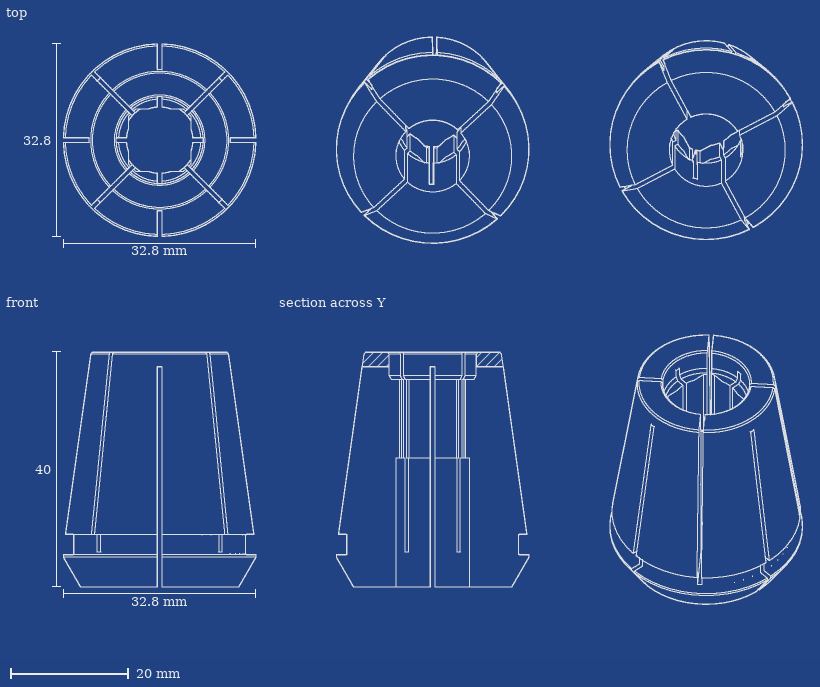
import cadquery as cq
import math

height = 40.0
flange_radius = 16.4
flange_top = 5.55
flange_rim_height = 0.45
nose_angle = 30.0
neck_radius = 14.65
neck_fillet = 0.15
taper_bottom = 9.0
taper_radius = 16.05
taper_angle = 8.0
rim_chamfer = 0.3

counterbore_radius = 7.4
counterbore_depth = 4.0
counterbore_floor_radius = 7.0
floor_bevel_height = 0.7

socket_width = 10.6
socket_corner_radius = 6.65
socket_relief_radius = 5.63
shank_radius = 6.25
shank_depth = 22.0

slit_width = 0.75
slit_count = 4
lower_slit_top = 37.5
upper_slit_bottom = 5.95


def cone_radius_change(length, angle):
    """Radius change of a cone along an axial length."""
    return length * math.tan(math.radians(angle))


def make_body():
    """Revolved outside of the collet, without any bores."""
    rim_bottom = flange_top - flange_rim_height
    nose_radius = flange_radius - cone_radius_change(rim_bottom, nose_angle)
    chamfer_start = height - rim_chamfer
    taper_top_radius = taper_radius - cone_radius_change(chamfer_start - taper_bottom, taper_angle)
    fillet_edge = neck_radius + neck_fillet
    arc_inset = neck_fillet * (1 - math.cos(math.radians(45)))
    profile = (
        cq.Workplane("XZ")
        .lineTo(nose_radius, 0)
        .lineTo(flange_radius, rim_bottom)
        .lineTo(flange_radius, flange_top)
        .lineTo(fillet_edge, flange_top)
        .threePointArc(
            (neck_radius + arc_inset, flange_top + arc_inset),
            (neck_radius, flange_top + neck_fillet),
        )
        .lineTo(neck_radius, taper_bottom - neck_fillet)
        .threePointArc(
            (neck_radius + arc_inset, taper_bottom - arc_inset),
            (fillet_edge, taper_bottom),
        )
        .lineTo(taper_radius, taper_bottom)
        .lineTo(taper_top_radius, chamfer_start)
        .lineTo(taper_top_radius - rim_chamfer, height)
        .lineTo(0, height)
        .close()
    )
    return profile.revolve(360, (0, 0), (0, 1))


def make_counterbore():
    """Recess in the top face with a chamfered mouth and a bevelled floor edge."""
    floor = height - counterbore_depth - floor_bevel_height
    profile = [
        (0, floor),
        (counterbore_floor_radius, floor),
        (counterbore_radius, height - counterbore_depth),
        (counterbore_radius, height - rim_chamfer),
        (counterbore_radius + rim_chamfer, height),
        (0, height),
    ]
    return cq.Workplane("XZ").polyline(profile).close().revolve(360, (0, 0), (0, 1))


def make_socket():
    """Square drive socket with rounded corners and a round relief through its flats."""
    start = cq.Workplane("XY").workplane(offset=shank_depth)
    depth = height - counterbore_depth - shank_depth
    square = start.rect(socket_width, socket_width).extrude(depth)
    corners = start.circle(socket_corner_radius).extrude(depth)
    relief = start.circle(socket_relief_radius).extrude(depth)
    return square.intersect(corners).union(relief)


def make_slits(bottom, top, first_angle):
    """Radial slits, evenly spaced, reaching from the axis past the flange."""
    slits = cq.Workplane("XY")
    for index in range(slit_count):
        slit = (
            cq.Workplane("XY")
            .box(2 * flange_radius, slit_width, top - bottom, centered=(False, True, False))
            .translate((0, 0, bottom))
            .rotate((0, 0, 0), (0, 0, 1), first_angle + index * 360 / slit_count)
        )
        slits = slits.union(slit)
    return slits


shank_bore = cq.Workplane("XY").circle(shank_radius).extrude(shank_depth)

result = (
    make_body()
    .cut(make_counterbore())
    .cut(make_socket())
    .cut(shank_bore)
    .cut(make_slits(0, lower_slit_top, 0))
    .cut(make_slits(upper_slit_bottom, height, 180 / slit_count))
)